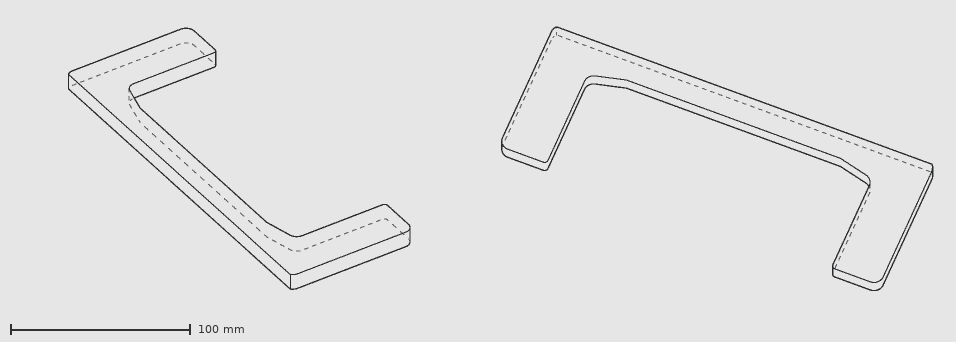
import cadquery as cq

length = 229.0
depth = 81.0
thickness = 10.0

leg_width = 28.9
bar_depth = 16.0
ramp_length = 21.3
ramp_rise = 5.3

corner_radius = 5.5
inner_tip_radius = 2.0
front_round_depth = 4.0

half_length = length / 2
inner_x = half_length - leg_width
ramp_end_x = inner_x - ramp_length
front_y = -depth / 2
back_y = depth / 2
bar_y = front_y + bar_depth
ramp_top_y = bar_y + ramp_rise
front_trim = corner_radius - front_round_depth
blank_front_y = front_y - front_trim


def make_blank():
    """U-shaped plate, symmetric about X = 0, with extra stock along the front."""
    right_half = [
        (half_length, blank_front_y),
        (half_length, back_y),
        (inner_x, back_y),
        (inner_x, ramp_top_y),
        (ramp_end_x, bar_y),
    ]
    left_half = [(-x, y) for x, y in reversed(right_half)]
    outline = cq.Workplane("XY").polyline(right_half + left_half).close()
    return outline.extrude(thickness / 2, both=True)


def round_corners(body, x, y, radius):
    """Round the two upright edges at (x, y) and (-x, y)."""
    for corner_x in (-x, x):
        edge = cq.NearestToPointSelector((corner_x, y, 0))
        body = body.edges(edge).fillet(radius)
    return body


def trim_front(body):
    """Cut the extra stock off, leaving a flat front face that meets the arcs at an edge."""
    stock = (
        cq.Workplane("XY")
        .center(0, front_y - front_trim / 2)
        .box(length, front_trim, thickness)
    )
    return body.cut(stock)


plate = make_blank()
plate = round_corners(plate, half_length, back_y, corner_radius)
plate = round_corners(plate, inner_x, back_y, inner_tip_radius)
plate = round_corners(plate, inner_x, ramp_top_y, corner_radius)
plate = round_corners(plate, half_length, blank_front_y, corner_radius)

result = trim_front(plate)